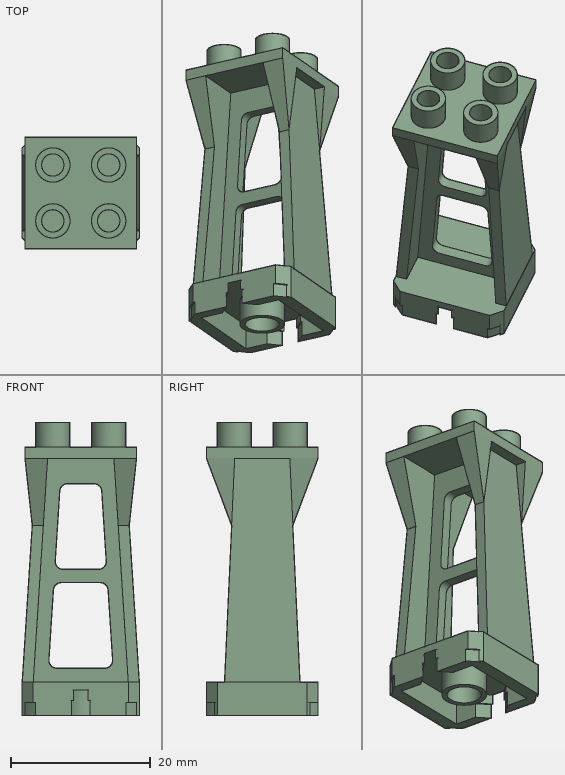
import cadquery as cq

BASE_LENGTH = 16.9
PLATE_SIDE = 16.0
BASE_HEIGHT = 4.8
WALL = 1.6
BASE_CHAMFER = 1.6
CAVITY_SIDE = PLATE_SIDE - 2 * WALL
CAVITY_HEIGHT = 3.65
TUBE_DIAMETER = 6.4
TUBE_BORE = 4.9

RELIEF_HEIGHT = 1.9
RELIEF_DIAMETER = 20.6

NOTCH_WIDTH = 2.6
NOTCH_STEP_HEIGHT = 2.2
NOTCH_TOP_WIDTH = 2.0

TOTAL_HEIGHT = 42.0
STUD_HEIGHT = 3.55
PLATE_THICKNESS = 1.6
STUD_DIAMETER = 4.9
STUD_BORE = 3.2
STUD_PITCH = PLATE_SIDE / 2
PLATE_TOP = TOTAL_HEIGHT - STUD_HEIGHT
PLATE_BOTTOM = PLATE_TOP - PLATE_THICKNESS

LEG_FOOT_OUTER_X = 8.4
LEG_TOP_OUTER_X = 6.35
LEG_THICKNESS = 1.6
LEG_FOOT_HALF_Y = 5.4
LEG_TOP_HALF_Y = 3.95

KNEE_Z = 27.2

WEB_THICKNESS = 1.6
WINDOW_MARGIN = 2.05
WINDOW_RADIUS = 1.1
WINDOW_SPANS = ((6.8, 19.03), (20.95, 33.2))


def along_leg(z, foot, top):
    """Value at height z of a straight taper from the base top to the plate underside."""
    return foot + (top - foot) * (z - BASE_HEIGHT) / (PLATE_BOTTOM - BASE_HEIGHT)


def leg_outer_x(z):
    return along_leg(z, LEG_FOOT_OUTER_X, LEG_TOP_OUTER_X)


def leg_inner_x(z):
    return leg_outer_x(z) - LEG_THICKNESS


def leg_half_y(z):
    return along_leg(z, LEG_FOOT_HALF_Y, LEG_TOP_HALF_Y)


def window_half_x(z):
    return leg_inner_x(z) - WINDOW_MARGIN


def block(length, width, bottom, top):
    return cq.Workplane("XY").workplane(offset=bottom).rect(length, width).extrude(top - bottom)


def front_prism(points, depth):
    """Outline in X and Z, extruded evenly to both sides of Y = 0."""
    return cq.Workplane("XZ").polyline(points).close().extrude(depth / 2, both=True)


def side_prism(points, depth):
    """Outline in Y and Z, extruded evenly to both sides of X = 0."""
    return cq.Workplane("YZ").polyline(points).close().extrude(depth / 2, both=True)


def trapezoid(half_width, bottom, top):
    """Symmetric outline whose half width is a function of height."""
    return [
        (-half_width(bottom), bottom),
        (half_width(bottom), bottom),
        (half_width(top), top),
        (-half_width(top), top),
    ]


def flared_notch(face_width, bottom, top):
    """Notch cutter with the given width on both outer faces, its sides flaring inwards at 45 degrees."""
    face_y = PLATE_SIDE / 2
    face_half = face_width / 2
    inner_half = face_half + WALL
    inner_y = face_y - WALL
    outline = [
        (face_half, -face_y),
        (inner_half, -inner_y),
        (inner_half, inner_y),
        (face_half, face_y),
        (-face_half, face_y),
        (-inner_half, inner_y),
        (-inner_half, -inner_y),
        (-face_half, -face_y),
    ]
    return cq.Workplane("XY").workplane(offset=bottom).polyline(outline).close().extrude(top - bottom)


def make_base():
    base = block(BASE_LENGTH, PLATE_SIDE, 0, BASE_HEIGHT).edges("|Z").chamfer(BASE_CHAMFER)

    relief = block(PLATE_SIDE, PLATE_SIDE, 0, RELIEF_HEIGHT)
    relief = relief.cut(cq.Workplane("XY").circle(RELIEF_DIAMETER / 2).extrude(RELIEF_HEIGHT))
    base = base.cut(relief)

    base = base.cut(block(CAVITY_SIDE, CAVITY_SIDE, 0, CAVITY_HEIGHT))
    base = base.cut(flared_notch(NOTCH_WIDTH, 0, NOTCH_STEP_HEIGHT))
    base = base.cut(flared_notch(NOTCH_TOP_WIDTH, NOTCH_STEP_HEIGHT, CAVITY_HEIGHT))

    tube = cq.Workplane("XY").circle(TUBE_DIAMETER / 2).circle(TUBE_BORE / 2).extrude(CAVITY_HEIGHT)
    return base.union(tube)


def make_legs():
    legs = front_prism(trapezoid(leg_outer_x, BASE_HEIGHT, PLATE_BOTTOM), PLATE_SIDE)
    legs = legs.cut(front_prism(trapezoid(leg_inner_x, BASE_HEIGHT, PLATE_BOTTOM), PLATE_SIDE))
    return legs.intersect(side_prism(trapezoid(leg_half_y, BASE_HEIGHT, PLATE_BOTTOM), BASE_LENGTH))


def make_gussets():
    corner = PLATE_SIDE / 2
    front_outline = [
        (leg_inner_x(KNEE_Z), KNEE_Z),
        (leg_outer_x(KNEE_Z), KNEE_Z),
        (corner, PLATE_BOTTOM),
        (leg_inner_x(PLATE_BOTTOM), PLATE_BOTTOM),
    ]
    side_outline = [
        (leg_half_y(KNEE_Z), KNEE_Z),
        (corner, PLATE_BOTTOM),
        (leg_half_y(PLATE_BOTTOM), PLATE_BOTTOM),
    ]
    gusset = front_prism(front_outline, PLATE_SIDE).intersect(side_prism(side_outline, PLATE_SIDE))
    pair = gusset.union(gusset.mirror("XZ"))
    return pair.union(pair.mirror("YZ"))


def make_web():
    web = front_prism(trapezoid(leg_inner_x, BASE_HEIGHT, PLATE_BOTTOM), WEB_THICKNESS)
    for bottom, top in WINDOW_SPANS:
        outline = trapezoid(window_half_x, bottom, top)
        web = web.cut(front_prism(outline, WEB_THICKNESS).edges("|Y").fillet(WINDOW_RADIUS))
    return web


def make_top():
    studs = (
        cq.Workplane("XY")
        .workplane(offset=PLATE_TOP)
        .rarray(STUD_PITCH, STUD_PITCH, 2, 2)
        .circle(STUD_DIAMETER / 2)
        .circle(STUD_BORE / 2)
        .extrude(STUD_HEIGHT)
    )
    return block(PLATE_SIDE, PLATE_SIDE, PLATE_BOTTOM, PLATE_TOP).union(studs)


result = make_base().union(make_legs()).union(make_gussets()).union(make_web()).union(make_top())